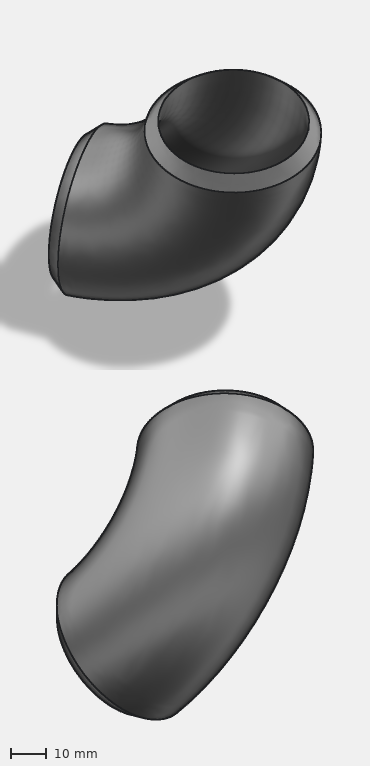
import cadquery as cq
import math

bend_radius = 47.45
outer_radius = 24.65
bore_radius = 21.1

bevel_half_angle = 41.5
bevel_lean = 2.2
apex_x = 48.95
apex_z = 23.9
cone_height = 43.3

end_allowance = 4.0


def bent_pipe():
    """Pipe wall swept from just above the X axis round to just past the -Z axis."""
    raw_angle = 90 + 2 * end_allowance
    return (
        cq.Workplane("XY")
        .center(bend_radius, 0)
        .circle(outer_radius)
        .circle(bore_radius)
        .revolve(raw_angle, (-bend_radius, 0), (-bend_radius, 1))
        .rotate((0, 0, 0), (0, 1, 0), -end_allowance)
    )


def upper_bevel_cutter():
    """Block around the upper end with the bevel cone hollowed out of it."""
    apex = cq.Vector(apex_x, 0, apex_z)
    lean = math.radians(bevel_lean)
    axis = cq.Vector(-math.sin(lean), 0, -math.cos(lean))
    base_radius = cone_height * math.tan(math.radians(bevel_half_angle))
    cone = cq.Solid.makeCone(0, base_radius, cone_height, apex, axis)
    block = cq.Solid.makeCylinder(base_radius, cone_height, apex, axis)
    return block.cut(cone)


def lower_bevel_cutter(upper_cutter):
    """Upper cutter mirrored across the diagonal plane of the bend."""
    return upper_cutter.rotate(cq.Vector(0, 0, 0), cq.Vector(1, 0, -1), 180)


upper_cutter = upper_bevel_cutter()
lower_cutter = lower_bevel_cutter(upper_cutter)
result = bent_pipe().cut(cq.Workplane(upper_cutter)).cut(cq.Workplane(lower_cutter))